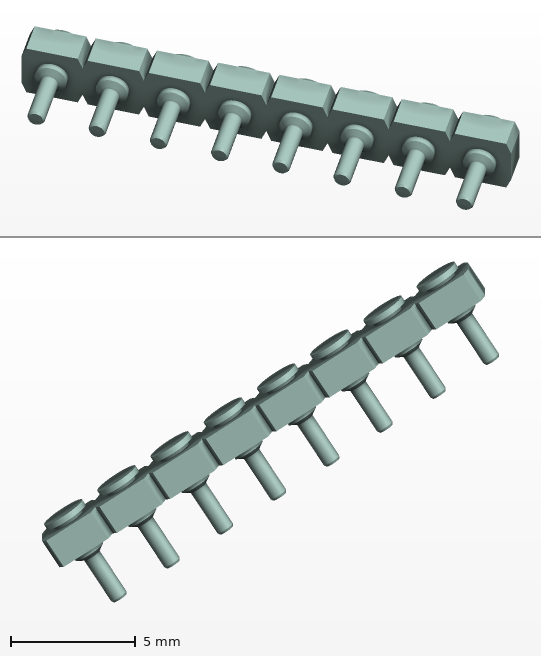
import cadquery as cq

strip_length = 20.32
pin_count = 8
pitch = strip_length / pin_count

housing_height = pitch
housing_depth = 1.28
notch_depth = 0.5
notch_half_width = 0.2

total_depth = 4.19
flange_diameter = 1.83
flange_thickness = 0.25
flange_gap = 0.16
collar_diameter = 1.32
collar_length = 0.25
cone_length = 0.18
tail_diameter = 0.73
tip_diameter = 0.6
tip_chamfer_length = 0.1

housing_back_y = housing_depth
flange_front_y = housing_back_y + flange_gap
flange_back_y = flange_front_y + flange_thickness
tip_y = flange_back_y - total_depth
cone_back_y = -collar_length
cone_front_y = cone_back_y - cone_length

pin_positions = [(i - (pin_count - 1) / 2) * pitch for i in range(pin_count)]


def groove_pair(x):
    """Pair of triangular prisms that cut matching V grooves in the top and bottom at X = x."""
    half_height = housing_height / 2
    groove = (
        cq.Workplane("XZ")
        .moveTo(x - notch_half_width, half_height)
        .lineTo(x, half_height - notch_depth)
        .lineTo(x + notch_half_width, half_height)
        .close()
        .extrude(-housing_depth)
    )
    return groove.union(groove.mirror("XY"))


def make_housing():
    """Strip of cells with V grooves at every cell boundary and a plain through hole per pin."""
    housing = cq.Workplane("XZ").rect(strip_length, housing_height).extrude(-housing_depth)
    for boundary in range(pin_count + 1):
        housing = housing.cut(groove_pair(boundary * pitch - strip_length / 2))
    holes = (
        cq.Workplane("XZ")
        .pushPoints([(x, 0) for x in pin_positions])
        .circle(collar_diameter / 2)
        .extrude(-housing_depth)
    )
    return housing.cut(holes)


def make_pin(x):
    """Turned pin: rear flange, collar through the housing, cone and chamfered tail."""
    flange_radius = flange_diameter / 2
    collar_radius = collar_diameter / 2
    tail_radius = tail_diameter / 2
    profile = [
        (0, flange_back_y),
        (flange_radius, flange_back_y),
        (flange_radius, flange_front_y),
        (collar_radius, flange_front_y),
        (collar_radius, cone_back_y),
        (tail_radius, cone_front_y),
        (tail_radius, tip_y + tip_chamfer_length),
        (tip_diameter / 2, tip_y),
        (0, tip_y),
    ]
    pin = cq.Workplane("XY").polyline(profile).close().revolve(360, (0, 0, 0), (0, 1, 0))
    return pin.translate((x, 0, 0))


housing = make_housing()
pins = [make_pin(x) for x in pin_positions]

result = cq.Compound.makeCompound([housing.val(), *[pin.val() for pin in pins]])